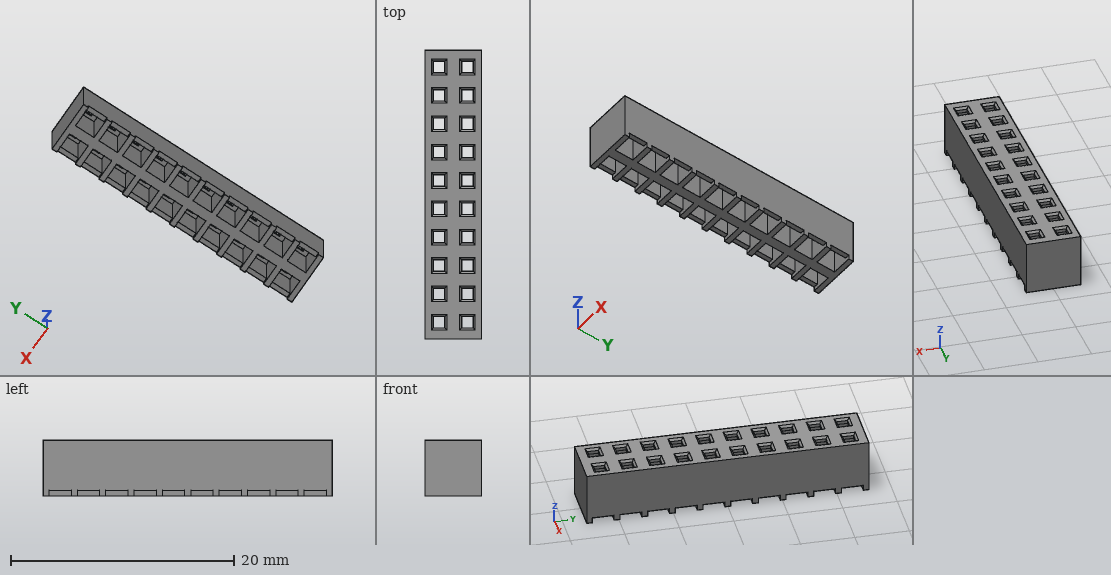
import cadquery as cq


PITCH = 2.54
ROW_COUNT = 2
CONTACTS_PER_ROW = 10

END_ALLOWANCE = 0.5
BODY_WIDTH = ROW_COUNT * PITCH
BODY_LENGTH = CONTACTS_PER_ROW * PITCH + END_ALLOWANCE
BODY_HEIGHT = 5.0

THROAT_SIZE = 1.0
LEAD_IN_SIZE = 1.4
LEAD_IN_DEPTH = 0.2
THROAT_DEPTH = 0.3
CAVITY_WIDTH = 1.6
CAVITY_LENGTH = 2.0
CAVITY_HEIGHT = BODY_HEIGHT - LEAD_IN_DEPTH - THROAT_DEPTH

NOTCH_LENGTH = CAVITY_LENGTH
NOTCH_HEIGHT = 0.5
NOTCH_DEPTH = PITCH / 2


def make_body():
    """Plain rectangular housing block."""
    return cq.Workplane("XY").box(BODY_WIDTH, BODY_LENGTH, BODY_HEIGHT, centered=(True, True, False))


def make_contact_opening():
    """Space removed for one contact, centred on the Z axis."""
    throat = cq.Workplane("XY").rect(THROAT_SIZE, THROAT_SIZE).extrude(BODY_HEIGHT)
    lead_in = (
        cq.Workplane("XY", origin=(0, 0, BODY_HEIGHT))
        .rect(LEAD_IN_SIZE, LEAD_IN_SIZE)
        .workplane(offset=-LEAD_IN_DEPTH)
        .rect(THROAT_SIZE, THROAT_SIZE)
        .loft(ruled=True)
    )
    cavity = cq.Workplane("XY").rect(CAVITY_WIDTH, CAVITY_LENGTH).extrude(CAVITY_HEIGHT)
    return throat.union(lead_in).union(cavity)


def cut_contact_openings(body):
    """Cut one contact opening at every point of the grid."""
    opening = make_contact_opening().val()
    grid = cq.Workplane("XY").rarray(PITCH, PITCH, ROW_COUNT, CONTACTS_PER_ROW)
    return body.cut(grid.eachpoint(opening))


def cut_bottom_notches(body):
    """Cut the notches inward from both long sides, in line with the contacts."""
    side_count = 2
    side_spacing = BODY_WIDTH - NOTCH_DEPTH
    notches = (
        cq.Workplane("XY")
        .rarray(side_spacing, PITCH, side_count, CONTACTS_PER_ROW)
        .rect(NOTCH_DEPTH, NOTCH_LENGTH)
        .extrude(NOTCH_HEIGHT)
    )
    return body.cut(notches)


result = make_body()
result = cut_contact_openings(result)
result = cut_bottom_notches(result)